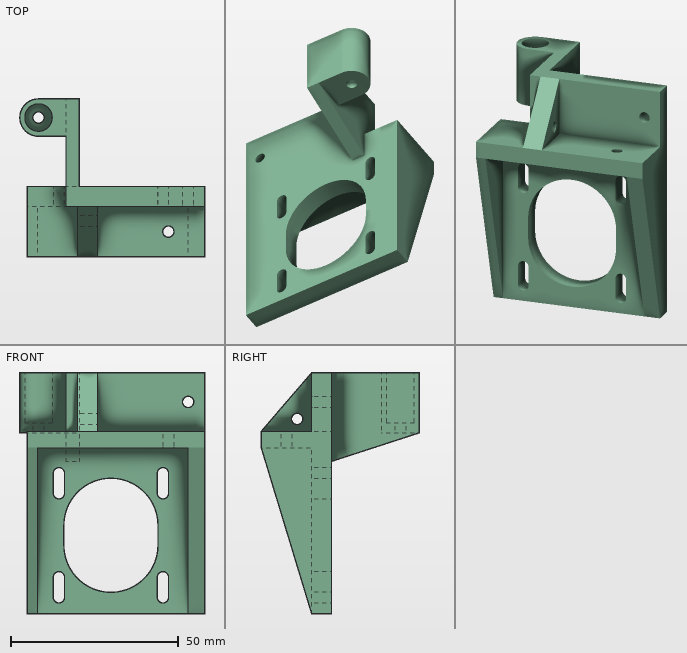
import cadquery as cq


total_height = 71.95
body_width = 52.95
body_depth = 21.0
plate_thickness = 6.0
shelf_drop = 17.5
shelf_thickness = 5.0
left_side_thickness = 3.0
right_side_thickness = 5.0

shelf_top = total_height - shelf_drop
shelf_bottom = shelf_top - shelf_thickness
body_front = -body_depth
plate_front = -plate_thickness

hole_diameter = 3.3
slot_travel = 6.0
slot_spacing = 31.0
opening_width = 28.0
motor_x = 25.0
motor_z = 23.45

wall_left = 11.5
gusset_left = 15.0
gusset_thickness = 6.0

wall_hole_from_right = 5.0
shelf_hole_from_right = 10.9
gusset_hole_from_wall = 4.3
gusset_hole_above_shelf = 3.7

arm_thickness = 4.0
arm_reach = 26.1
arm_taper = 8.5
barrel_diameter = 11.2
barrel_height = 18.0
barrel_overhang = 2.2
bore_diameter = 8.2
bore_floor = 3.0

arm_right = wall_left + arm_thickness
barrel_radius = barrel_diameter / 2
barrel_x = barrel_radius - barrel_overhang
barrel_y = arm_reach - barrel_radius
barrel_bottom = total_height - barrel_height


def block(x_range, y_range, z_range):
    """Box between the given (low, high) limits."""
    lows, highs = zip(x_range, y_range, z_range)
    sizes = [high - low for low, high in zip(lows, highs)]
    return cq.Workplane("XY").box(*sizes, centered=False).translate(lows)


def upright(profile, x_left, thickness):
    """Extrude a (y, z) outline along +X from x_left."""
    return cq.Workplane("YZ", origin=(x_left, 0, 0)).polyline(profile).close().extrude(thickness)


def make_body():
    """Motor plate, shelf and the two tapered side walls."""
    plate = block((0, body_width), (plate_front, 0), (0, shelf_top))
    shelf = block((0, body_width), (body_front, 0), (shelf_bottom, shelf_top))
    side_profile = [
        (0, 0),
        (plate_front, 0),
        (body_front, shelf_bottom),
        (body_front, shelf_top),
        (0, shelf_top),
    ]
    left_side = upright(side_profile, 0, left_side_thickness)
    right_side = upright(side_profile, body_width - right_side_thickness, right_side_thickness)
    return plate.union(shelf).union(left_side).union(right_side)


def make_upper_wall():
    """Wall above the shelf with its triangular gusset."""
    wall = block((wall_left, body_width), (plate_front, 0), (shelf_bottom, total_height))
    gusset_profile = [
        (plate_front, shelf_top),
        (body_front, shelf_top),
        (plate_front, total_height),
    ]
    return wall.union(upright(gusset_profile, gusset_left, gusset_thickness))


def make_arm():
    """Arm with a sloping underside, carrying the barrel on its left."""
    arm_profile = [
        (plate_front, total_height),
        (arm_reach, total_height),
        (arm_reach, barrel_bottom),
        (0, barrel_bottom - arm_taper),
        (plate_front, barrel_bottom - arm_taper),
    ]
    arm = upright(arm_profile, wall_left, arm_thickness)
    barrel_heights = (barrel_bottom, total_height)
    neck = block((barrel_x, arm_right), (arm_reach - barrel_diameter, arm_reach), barrel_heights)
    barrel = (
        cq.Workplane("XY", origin=(barrel_x, barrel_y, barrel_bottom))
        .circle(barrel_radius)
        .extrude(barrel_height)
    )
    return arm.union(neck).union(barrel)


def barrel_cutter():
    """Bore open at the top, with a screw hole through its floor."""
    base = cq.Workplane("XY", origin=(barrel_x, barrel_y, barrel_bottom))
    screw_hole = base.circle(hole_diameter / 2).extrude(barrel_height)
    bore = base.workplane(offset=bore_floor).circle(bore_diameter / 2).extrude(barrel_height - bore_floor)
    return screw_hole.union(bore)


def motor_cutter():
    """Central opening and four corner slots through the motor plate."""
    face = cq.Workplane("XZ", origin=(motor_x, 0, motor_z))
    opening = face.slot2D(opening_width + slot_travel, opening_width, 90).extrude(plate_thickness)
    slots = (
        face.rect(slot_spacing, slot_spacing, forConstruction=True)
        .vertices()
        .slot2D(hole_diameter + slot_travel, hole_diameter, 90)
        .extrude(plate_thickness)
    )
    return opening.union(slots)


def screw_hole_cutter():
    """One hole each through the upper wall, the shelf and the gusset."""
    radius = hole_diameter / 2
    wall_hole = (
        cq.Workplane("XZ", origin=(body_width - wall_hole_from_right, 0, shelf_top + shelf_drop / 2))
        .circle(radius)
        .extrude(plate_thickness)
    )
    shelf_hole_y = (plate_front + body_front) / 2
    shelf_hole = (
        cq.Workplane("XY", origin=(body_width - shelf_hole_from_right, shelf_hole_y, shelf_bottom))
        .circle(radius)
        .extrude(shelf_thickness)
    )
    gusset_hole_y = plate_front - gusset_hole_from_wall
    gusset_hole = (
        cq.Workplane("YZ", origin=(gusset_left, gusset_hole_y, shelf_top + gusset_hole_above_shelf))
        .circle(radius)
        .extrude(gusset_thickness)
    )
    return wall_hole.union(shelf_hole).union(gusset_hole)


bracket = make_body().union(make_upper_wall()).union(make_arm())
result = bracket.cut(barrel_cutter()).cut(motor_cutter()).cut(screw_hole_cutter())